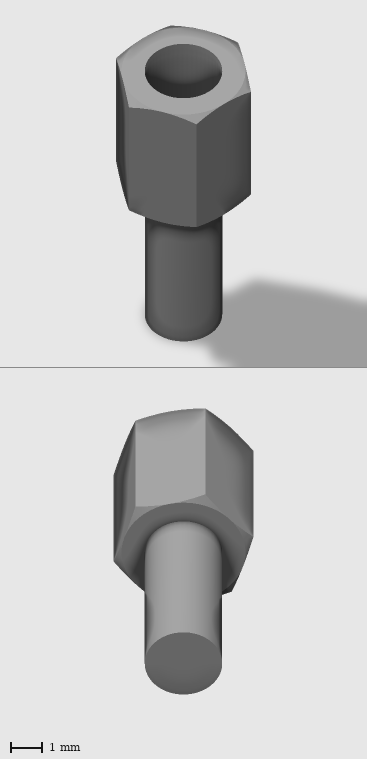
import cadquery as cq
import math

across_flats = 4.0
across_corners = across_flats / math.cos(math.radians(30))
hex_length = 5.0
chamfer_angle = 30.0

shank_diameter = 2.5
shank_length = 6.0


def make_chamfer_envelope():
    """Round blank with coned ends that trims the hexagon corners."""
    corner_radius = across_corners / 2
    face_radius = across_flats / 2
    chamfer_height = (corner_radius - face_radius) * math.tan(math.radians(chamfer_angle))
    return (
        cq.Workplane("XZ")
        .moveTo(0, 0)
        .lineTo(face_radius, 0)
        .lineTo(corner_radius, chamfer_height)
        .lineTo(corner_radius, hex_length - chamfer_height)
        .lineTo(face_radius, hex_length)
        .lineTo(0, hex_length)
        .close()
        .revolve(360, (0, 0, 0), (0, 1, 0))
    )


def make_hex_body():
    """Hexagonal post with chamfered corners and a bore through its full length."""
    prism = (
        cq.Workplane("XY")
        .transformed(rotate=(0, 0, 90))
        .polygon(6, across_corners)
        .extrude(hex_length)
    )
    bore = cq.Workplane("XY").circle(shank_diameter / 2).extrude(hex_length)
    return prism.intersect(make_chamfer_envelope()).cut(bore)


def make_shank():
    """Plain round shank whose top closes the lower end of the bore."""
    return cq.Workplane("XY").circle(shank_diameter / 2).extrude(-shank_length)


hex_body = make_hex_body()
shank = make_shank()

result = cq.Compound.makeCompound([hex_body.val(), shank.val()])